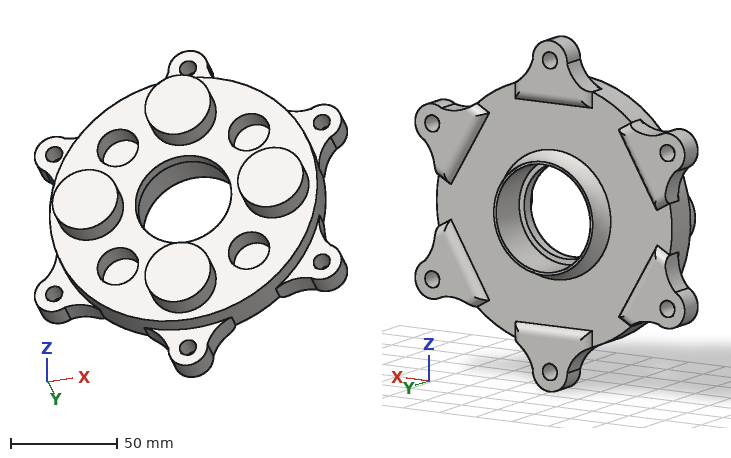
import cadquery as cq
import math

disc_radius = 65.0
disc_thickness = 16.8

pitch_radius = 45.0
pin_diameter = 31.7
pin_length = 11.0
hole_diameter = 19.8
hole_depth = 11.0
pin_count = 4

boss_height = 10.0
boss_top_radius = 27.3
boss_base_radius = 31.2
lip_diameter = 46.5
lip_length = 6.0
bore_diameter = 52.0

ear_count = 6
ear_bolt_radius = 75.0
ear_tip_radius = 9.5
ear_tip_overrun = 3.0
ear_hole_diameter = 8.0
ear_thickness = 12.0
ear_front = 8.8
ear_neck_radius = 20.0
ear_foot_half_width = 21.2
ear_foot_radius = 53.5
ear_foot_round = 5.0


def cylinder(diameter, y_start, y_end, z=0.0):
    """Round bar parallel to Y, from y_start to y_end."""
    bar = cq.Solid.makeCylinder(
        diameter / 2, y_end - y_start, cq.Vector(0, y_start, z), cq.Vector(0, 1, 0)
    )
    return cq.Workplane(obj=bar)


def make_boss():
    """Boss whose concave flank starts upright at the top and flares out to the disc."""
    flare = boss_base_radius - boss_top_radius
    flank_radius = (boss_height**2 + flare**2) / (2 * flare)
    half_sweep = math.asin(boss_height / flank_radius) / 2
    back = disc_thickness + boss_height
    flank_middle = (
        boss_top_radius + flank_radius * (1 - math.cos(half_sweep)),
        back - flank_radius * math.sin(half_sweep),
    )
    return (
        cq.Workplane("XY")
        .moveTo(0, disc_thickness)
        .lineTo(boss_base_radius, disc_thickness)
        .threePointArc(flank_middle, (boss_top_radius, back))
        .lineTo(0, back)
        .close()
        .revolve(360, (0, 0), (0, 1))
    )


def make_ear():
    """Ear at the +Z side: round tip, concave necks and a foot reaching over the disc."""
    tip_x = ear_tip_radius * math.cos(math.radians(ear_tip_overrun))
    tip_z = ear_bolt_radius - ear_tip_radius * math.sin(math.radians(ear_tip_overrun))

    centre_distance = disc_radius + ear_neck_radius
    tip_distance = math.hypot(tip_x, tip_z)
    cos_between = (centre_distance**2 + tip_distance**2 - ear_neck_radius**2) / (
        2 * centre_distance * tip_distance
    )
    neck_angle = math.atan2(tip_z, tip_x) - math.acos(cos_between)
    neck_x = centre_distance * math.cos(neck_angle)
    neck_z = centre_distance * math.sin(neck_angle)

    foot_x = ear_foot_half_width
    foot_z = neck_z - math.sqrt(ear_neck_radius**2 - (neck_x - foot_x) ** 2)

    start_angle = math.atan2(tip_z - neck_z, tip_x - neck_x) % (2 * math.pi)
    end_angle = math.atan2(foot_z - neck_z, foot_x - neck_x) % (2 * math.pi)
    middle_angle = (start_angle + end_angle) / 2
    middle_x = neck_x + ear_neck_radius * math.cos(middle_angle)
    middle_z = neck_z + ear_neck_radius * math.sin(middle_angle)

    ear = (
        cq.Workplane("XZ", origin=(0, ear_front, 0))
        .moveTo(-tip_x, tip_z)
        .threePointArc((0, ear_bolt_radius + ear_tip_radius), (tip_x, tip_z))
        .threePointArc((middle_x, middle_z), (foot_x, foot_z))
        .lineTo(foot_x, ear_foot_radius)
        .lineTo(-foot_x, ear_foot_radius)
        .lineTo(-foot_x, foot_z)
        .threePointArc((-middle_x, middle_z), (-tip_x, tip_z))
        .close()
        .extrude(-ear_thickness)
    )
    return ear.intersect(make_foot_envelope())


def make_foot_envelope():
    """Block over the whole ear whose back edges at the foot are rounded."""
    length = ear_bolt_radius + ear_tip_radius - ear_foot_radius
    return (
        cq.Workplane("XY")
        .box(2 * ear_foot_half_width, ear_thickness, length, centered=(True, False, False))
        .translate((0, ear_front, ear_foot_radius))
        .faces(">Y")
        .edges("|Z or <Z")
        .fillet(ear_foot_round)
    )


def place_around(shape, index, count):
    """Copy of a shape turned about the Y axis to one of several equal steps."""
    return shape.rotate((0, 0, 0), (0, 1, 0), index * 360 / count)


def add_ears(body):
    """Join the ears around the rim, each with its through hole."""
    hole = cylinder(ear_hole_diameter, ear_front, ear_front + ear_thickness, z=ear_bolt_radius)
    ear = make_ear().cut(hole)
    for index in range(ear_count):
        body = body.union(place_around(ear, index, ear_count))
    return body


def add_pins_and_holes(body):
    """Join the front pins and cut a blind hole halfway between each pair of pins."""
    pin = cylinder(pin_diameter, -pin_length, 0, z=pitch_radius)
    hole = place_around(cylinder(hole_diameter, 0, hole_depth, z=pitch_radius), 0.5, pin_count)
    for index in range(pin_count):
        body = body.union(place_around(pin, index, pin_count))
        body = body.cut(place_around(hole, index, pin_count))
    return body


def cut_bore(body):
    """Cut the through bore, narrower at the front lip than behind it."""
    lip = cylinder(lip_diameter, 0, lip_length)
    bore = cylinder(bore_diameter, lip_length, disc_thickness + boss_height)
    return body.cut(lip).cut(bore)


disc = cylinder(2 * disc_radius, 0, disc_thickness)
flanged_disc = add_ears(disc.union(make_boss()))
result = cut_bore(add_pins_and_holes(flanged_disc))